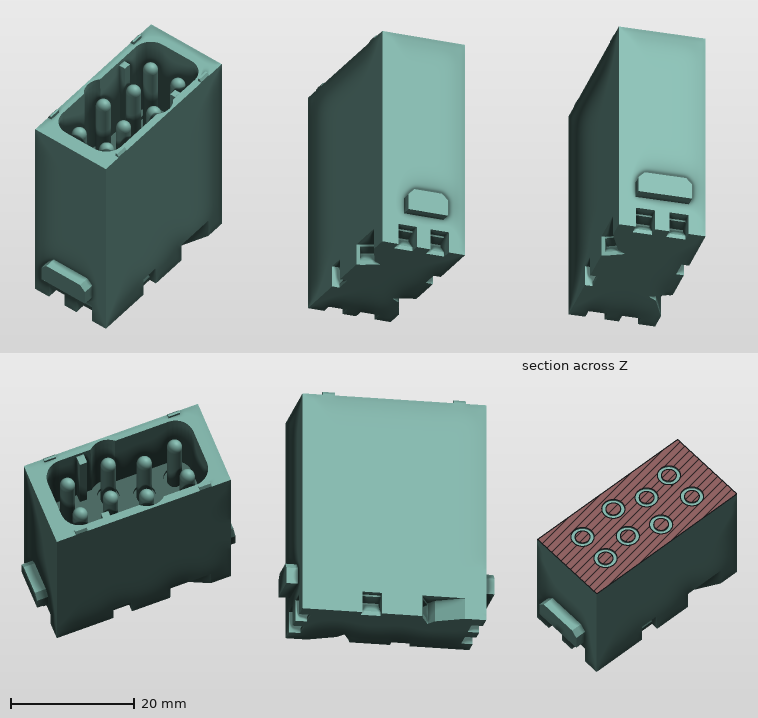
import cadquery as cq
import math

total_height = 37.65
body_width = 14.6
body_length = 30.35
lug_height = 0.6
body_height = total_height - lug_height
half_width = body_width / 2
half_length = body_length / 2

lug_thickness = 0.68
lug_top_width = 0.35
lug_outer_height = 0.15
lug_length = 2.05
lug_y = 10.8

tab_reach = 1.92
tab_bottom = 5.57
tab_height = 3.7
tab_chamfer = 1.0
front_tab_width = 9.0
back_tab_width = 6.95

cavity_width = 12.13
cavity_length = 25.4
cavity_corner_radius = 3.13
cavity_depth = 15.05
draft_angle = 1.0
bulge_radius = 3.15
floor_z = body_height - cavity_depth

rib_y = 5.87
rib_thickness = 1.28
rib_top_z = body_height - 0.8
left_rib_inner_x = -4.85
right_rib_inner_x = 4.5

pin_diameter = 2.5
pin_tip_z = 35.25
pin_pocket_diameter = 3.7
pin_pocket_depth = 0.75
corner_pin_x = 2.82
corner_pin_y = 9.35
inner_pin_x = 1.9
inner_pin_y = 3.7
outer_pin_x = 3.73
outer_pin_y = 1.9
half_of_pins = [
    (-corner_pin_x, corner_pin_y),
    (corner_pin_x, corner_pin_y),
    (-inner_pin_x, inner_pin_y),
    (-outer_pin_x, -outer_pin_y),
]
pin_points = half_of_pins + [(-x, -y) for x, y in half_of_pins]

slot_width = 3.25
slot_height = 3.55
end_slot_depth = 1.9
side_slot_depth = 1.28
notch_depth = 1.6
notch_bottom = 0.7
notch_top = 3.25
notch_inner_bottom = 2.35
notch_inner_top = 2.65

slot_angle = 25.0
angled_slot_near_y = -4.6
angled_slot_far_y = -11.67
back_wall_end_y = -6.2
flank_end_y = -7.08
back_wall_step = 0.1


def box(x_range, y_range, z_range):
    """Axis-aligned block between the given limits."""
    size = [high - low for low, high in (x_range, y_range, z_range)]
    corner = (x_range[0], y_range[0], z_range[0])
    return cq.Workplane("XY").box(*size, centered=False).translate(corner)


def half_turn(shape):
    """Copy of the shape turned by 180 degrees about the Z axis."""
    return shape.rotate((0, 0, 0), (0, 0, 1), 180)


def lug():
    """Rim lug on the +X, +Y side, sloped on its outer edge."""
    inner_x = half_width - lug_thickness
    return (
        cq.Workplane("XZ", origin=(0, lug_y + lug_length / 2, 0))
        .moveTo(inner_x, body_height)
        .lineTo(inner_x, total_height)
        .lineTo(inner_x + lug_top_width, total_height)
        .lineTo(half_width, body_height + lug_outer_height)
        .lineTo(half_width, body_height)
        .close()
        .extrude(lug_length)
    )


def tab(width):
    """Guide tab on the -Y end face with its two upper corners chamfered."""
    return (
        box(
            (-width / 2, width / 2),
            (-half_length - tab_reach, -half_length),
            (tab_bottom, tab_bottom + tab_height),
        )
        .edges("|Y and >Z")
        .chamfer(tab_chamfer)
    )


def cavity():
    """Drafted rounded pocket with a round bulge beside each outermost pin."""
    pocket = (
        cq.Workplane("XY", origin=(0, 0, body_height))
        .sketch()
        .rect(cavity_width, cavity_length)
        .vertices()
        .fillet(cavity_corner_radius)
        .finalize()
        .extrude(-cavity_depth, taper=draft_angle)
    )
    bulges = (
        cq.Workplane("XY", origin=(0, 0, body_height))
        .pushPoints([(-outer_pin_x, -outer_pin_y), (outer_pin_x, outer_pin_y)])
        .circle(bulge_radius)
        .extrude(-cavity_depth, taper=draft_angle)
    )
    return pocket.union(bulges)


def ribs():
    """The two keying ribs, reaching from the cavity floor to just below the rim."""
    y_range = (rib_y - rib_thickness / 2, rib_y + rib_thickness / 2)
    z_range = (floor_z, rib_top_z)
    left = box((-cavity_width / 2, left_rib_inner_x), y_range, z_range)
    right = box((right_rib_inner_x, cavity_width / 2), y_range, z_range)
    return left.union(right)


def pins():
    """Round-tipped contact pins standing on the floors of their pockets."""
    pin_length = pin_tip_z - floor_z + pin_pocket_depth
    return (
        cq.Workplane("XY", origin=(0, 0, floor_z - pin_pocket_depth))
        .pushPoints(pin_points)
        .circle(pin_diameter / 2)
        .extrude(pin_length - pin_diameter / 2)
        .union(
            cq.Workplane("XY", origin=(0, 0, pin_tip_z - pin_diameter / 2))
            .pushPoints(pin_points)
            .sphere(pin_diameter / 2)
        )
    )


def notch():
    """Undercut going in the +Y direction from a slot back wall at Y = 0."""
    return (
        cq.Workplane("YZ", origin=(-slot_width / 2, 0, 0))
        .moveTo(0, notch_bottom)
        .lineTo(notch_depth, notch_inner_bottom)
        .lineTo(notch_depth, notch_inner_top)
        .lineTo(0, notch_top)
        .close()
        .extrude(slot_width)
    )


def slot(depth):
    """Straight slot with an undercut, entering in the +Y direction from a face at Y = 0."""
    opening = box((-slot_width / 2, slot_width / 2), (0, depth), (0, slot_height))
    return opening.union(notch().translate((0, depth, 0)))


def angled_slot():
    """Slot on the -X side whose back wall and long flank are turned by the slot angle."""
    slope = math.tan(math.radians(slot_angle))
    back_wall_end_x = -half_width + (angled_slot_near_y - back_wall_end_y) / slope
    flank_end_x = -half_width + (flank_end_y - angled_slot_far_y) * slope
    opening = (
        cq.Workplane("XY")
        .moveTo(-half_width, angled_slot_near_y)
        .lineTo(back_wall_end_x, back_wall_end_y)
        .lineTo(flank_end_x, flank_end_y)
        .lineTo(-half_width, angled_slot_far_y)
        .close()
        .extrude(slot_height)
    )
    undercut = (
        slot(back_wall_step)
        .translate((-slot_width / 2, 0, 0))
        .rotate((0, 0, 0), (0, 0, 1), -slot_angle)
        .translate((back_wall_end_x, back_wall_end_y, 0))
    )
    return opening.union(undercut)


body = box((-half_width, half_width), (-half_length, half_length), (0, body_height))
body = body.union(tab(front_tab_width)).union(half_turn(tab(back_tab_width)))
lug_pair = lug().union(lug().mirror("XZ"))
body = body.union(lug_pair).union(half_turn(lug_pair))

pin_pockets = (
    cq.Workplane("XY", origin=(0, 0, floor_z))
    .pushPoints(pin_points)
    .circle(pin_pocket_diameter / 2)
    .extrude(-pin_pocket_depth)
)
body = body.cut(cavity()).union(ribs()).cut(pin_pockets).union(pins())

end_slot = slot(end_slot_depth).translate((0, -half_length, 0))
side_slot = (
    slot(side_slot_depth)
    .rotate((0, 0, 0), (0, 0, 1), -90)
    .translate((-half_width, inner_pin_y, 0))
)
slots = [
    end_slot.translate((-corner_pin_x, 0, 0)),
    end_slot.translate((corner_pin_x, 0, 0)),
    side_slot,
    angled_slot(),
]
for cutter in slots:
    body = body.cut(cutter).cut(half_turn(cutter))

result = body